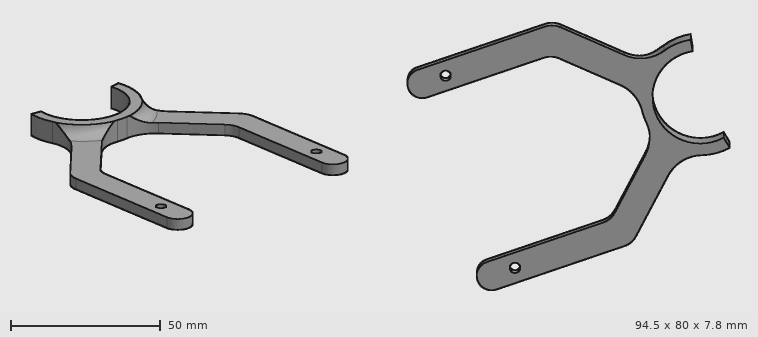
import cadquery as cq
import math

ring_outer_radius = 20.0
ring_inner_radius = 16.0
ring_height = 7.8
ring_overhang_angle = 10

arm_width = 10.0
arm_thickness = 4.0
arm_slope = 43.5
overall_length = 94.5
overall_width = 80.0
bend_x = 40.1
bend_radius = 7.1
root_radius = 12.85
collar_radius = 5.0
hole_diameter = 3.5
hole_x = 77.75

half_width = arm_width / 2
arm_y = overall_width / 2 - half_width
overhang = math.radians(ring_overhang_angle)
arm_end_x = overall_length - ring_outer_radius * math.sin(overhang)
tip_x = arm_end_x - half_width
slope = math.radians(arm_slope)
along = (math.cos(slope), math.sin(slope))
normal = (-math.sin(slope), math.cos(slope))


def make_ring():
    """Annulus opened towards -X by a wedge whose edges are radial."""
    reach = 2 * ring_outer_radius
    wedge_x = -reach * math.sin(overhang)
    wedge_y = reach * math.cos(overhang)
    opening = (
        cq.Workplane("XY")
        .polyline([(0, 0), (wedge_x, wedge_y), (-reach, wedge_y), (-reach, -wedge_y), (wedge_x, -wedge_y)])
        .close()
        .extrude(ring_height)
    )
    ring = cq.Workplane("XY").circle(ring_outer_radius).circle(ring_inner_radius).extrude(ring_height)
    return ring.cut(opening)


def root_blend(side):
    """Points of one arm edge's root blend: ring tangency, arc middle and arm tangency.

    side is +1 for the outer edge and -1 for the inner edge of the arm.
    """
    centreline_offset = bend_x * normal[0] + arm_y * normal[1]
    across = centreline_offset + side * (half_width + root_radius)
    centre_distance = ring_outer_radius + root_radius
    run = math.sqrt(centre_distance**2 - across**2)
    centre = [run * along[i] + across * normal[i] for i in range(2)]
    on_ring = tuple(c * ring_outer_radius / centre_distance for c in centre)
    on_arm = tuple(centre[i] - side * root_radius * normal[i] for i in range(2))
    chord = [(on_ring[i] + on_arm[i]) / 2 - centre[i] for i in range(2)]
    stretch = root_radius / math.hypot(*chord)
    middle = tuple(centre[i] + chord[i] * stretch for i in range(2))
    return on_ring, middle, on_arm


def bend_corner(side):
    """Sharp corner of one arm edge at the bend."""
    return bend_x - side * half_width * math.tan(slope / 2), arm_y + side * half_width


def make_arm():
    """The +Y arm at full ring height, its top then cut down to the arm face."""
    outer_ring, outer_middle, outer_arm = root_blend(1)
    inner_ring, inner_middle, inner_arm = root_blend(-1)
    outer_corner = bend_corner(1)
    inner_corner = bend_corner(-1)
    embedded_radius = (ring_outer_radius + ring_inner_radius) / 2
    inset = embedded_radius / ring_outer_radius
    arm = (
        cq.Workplane("XY")
        .moveTo(*outer_ring)
        .threePointArc(outer_middle, outer_arm)
        .lineTo(*outer_corner)
        .lineTo(tip_x, arm_y + half_width)
        .threePointArc((arm_end_x, arm_y), (tip_x, arm_y - half_width))
        .lineTo(*inner_corner)
        .lineTo(*inner_arm)
        .threePointArc(inner_middle, inner_ring)
        .lineTo(inner_ring[0] * inset, inner_ring[1] * inset)
        .threePointArc(
            (embedded_radius * along[0], embedded_radius * along[1]),
            (outer_ring[0] * inset, outer_ring[1] * inset),
        )
        .close()
        .extrude(ring_height)
    )
    mid_height = ring_height / 2
    for corner in (outer_corner, inner_corner):
        arm = arm.edges(cq.selectors.NearestToPointSelector((*corner, mid_height))).fillet(bend_radius)
    hole = cq.Workplane("XY").center(hole_x, arm_y).circle(hole_diameter / 2).extrude(ring_height)
    return arm.cut(make_collar_cutter()).cut(hole)


def make_collar_cutter():
    """Body of revolution above the arm face, leaving a concave blend around the ring."""
    blend_end = ring_outer_radius + collar_radius
    blend_centre_z = arm_thickness + collar_radius
    diagonal = collar_radius * math.sqrt(0.5)
    reach = 2 * overall_length
    return (
        cq.Workplane("XZ")
        .moveTo(blend_end, arm_thickness)
        .lineTo(reach, arm_thickness)
        .lineTo(reach, blend_centre_z)
        .lineTo(ring_outer_radius, blend_centre_z)
        .threePointArc((blend_end - diagonal, blend_centre_z - diagonal), (blend_end, arm_thickness))
        .close()
        .revolve(360, (0, 0, 0), (0, 1, 0))
    )


arm = make_arm()
result = make_ring().union(arm).union(arm.mirror("XZ"))